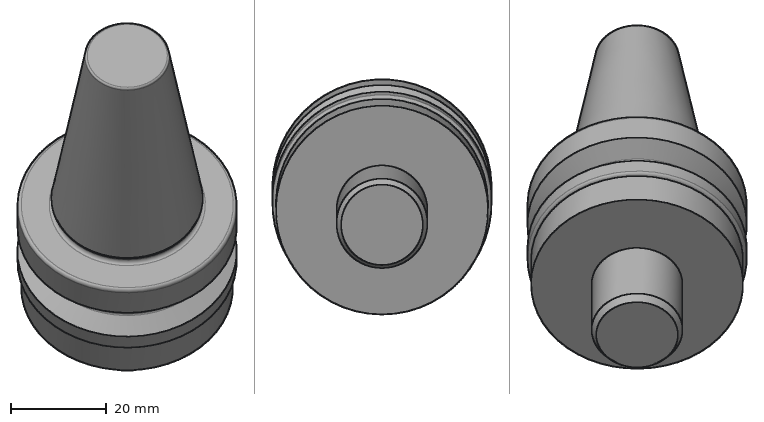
import cadquery as cq
import math

total_height = 96.1

pilot_radius = 9.5
pilot_height = 17.6
pilot_chamfer_width = 1.0
pilot_chamfer_height = 1.7

flange_radius = 45.95 / 2
flange_fillet = 0.8

collar_radius = flange_radius - flange_fillet
collar_height = 8.2

flange_bottom = pilot_height + collar_height
flange_height = 20.0
flange_top = flange_bottom + flange_height
groove_radius = 37.8 / 2
groove_floor_bottom = 32.4
groove_floor_top = 35.8
groove_flank_angle = 30.0
groove_fillet = 0.4
groove_depth = flange_radius - groove_radius
groove_flank_height = groove_depth * math.tan(math.radians(groove_flank_angle))

neck_radius = 15.5
neck_fillet = 0.9
neck_height = 1.2

taper_radius = 15.9
taper_bottom = 47.7
taper_slope = 7 / 24 / 2
taper_top_radius = taper_radius - taper_slope * (total_height - taper_bottom)
tip_fillet = 0.5


def lower_profile(profile):
    """Pilot and collar, from the axis up to the flange."""
    return (
        profile.moveTo(0, 0)
        .lineTo(pilot_radius - pilot_chamfer_width, 0)
        .lineTo(pilot_radius, pilot_chamfer_height)
        .lineTo(pilot_radius, pilot_height)
        .lineTo(collar_radius, pilot_height)
        .lineTo(collar_radius, flange_bottom)
    )


def flange_profile(profile):
    """Flange with rounded rims and the gripper groove."""
    return (
        profile.radiusArc((flange_radius, flange_bottom + flange_fillet), -flange_fillet)
        .lineTo(flange_radius, groove_floor_bottom - groove_flank_height)
        .lineTo(groove_radius, groove_floor_bottom)
        .lineTo(groove_radius, groove_floor_top)
        .lineTo(flange_radius, groove_floor_top + groove_flank_height)
        .lineTo(flange_radius, flange_top - flange_fillet)
        .radiusArc((flange_radius - flange_fillet, flange_top), -flange_fillet)
    )


def taper_profile(profile):
    """Filleted neck and the taper, back to the axis."""
    return (
        profile.lineTo(neck_radius + neck_fillet, flange_top)
        .radiusArc((neck_radius, flange_top + neck_fillet), neck_fillet)
        .lineTo(neck_radius, flange_top + neck_height)
        .lineTo(taper_radius, taper_bottom)
        .lineTo(taper_top_radius, total_height)
        .lineTo(0, total_height)
    )


half_section = taper_profile(flange_profile(lower_profile(cq.Workplane("XZ")))).close()
body = half_section.revolve(360, (0, 0, 0), (0, 1, 0))


def round_circle(solid, radius, height, fillet):
    """Fillet the circular edge of the given radius at the given height."""
    tolerance = 0.01
    circle = solid.edges("%CIRCLE").filter(
        lambda edge: abs(edge.radius() - radius) < tolerance and abs(edge.Center().z - height) < tolerance
    )
    return circle.fillet(fillet)


for floor_edge_height in (groove_floor_bottom, groove_floor_top):
    body = round_circle(body, groove_radius, floor_edge_height, groove_fillet)
result = round_circle(body, taper_top_radius, total_height, tip_fillet)